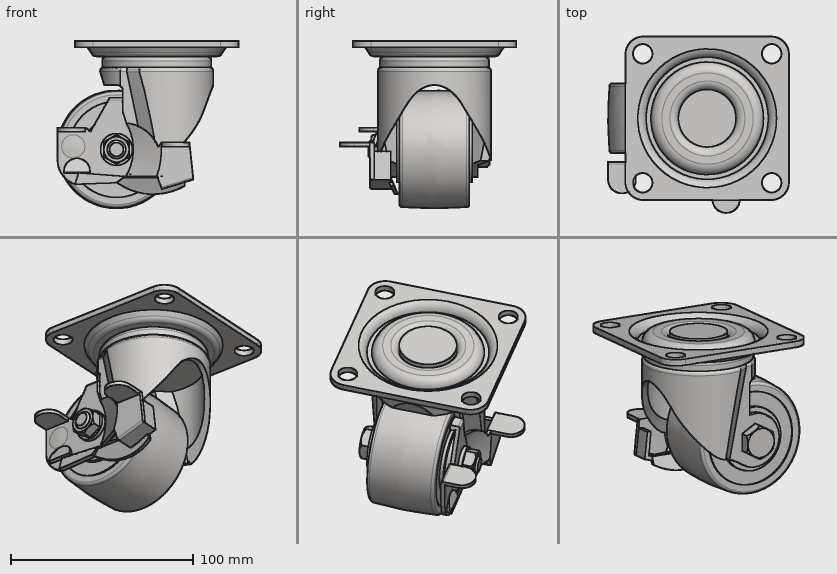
import cadquery as cq
import math

plate_side = 89.9
plate_thickness = 3.5
plate_corner_radius = 9.95
plate_hole_radius = 5.3
plate_hole_offset = 35.4

dish_radius = 38.1
groove_outer_radius = 33.5
groove_inner_radius = 30.9
hump_outer_radius = 25.1
hump_inner_radius = 20.6
groove_depth = 5.1
dish_bottom_z = -8.6

pin_radius = 15.8
collar_radius = 30.0
collar_bottom_z = -14.4
collar_round = 2.4

fork_radius = 31.1
fork_wall = 3.2
fork_round = 2.2
leg_outer_y = 23.9
lip_bottom_z = -24.3
lip_bottom_x = -28.9
lip_fillet = 3.0
fork_lower_z = -65.7
leg_edge_x = -18.7
leg_end_radius = 15.2

wheel_radius = 32.4
wheel_half_width = 19.2
wheel_crown = 0.7
wheel_edge_radius = 1.6
core_radius = 26.4
core_recess = 0.6
hub_radius = 18.1

axle_x = -22.1
axle_z = -59.6
bolt_radius = 5.1
bolt_tip_y = -36.2
bolt_tip_chamfer = 1.3
head_height = 6.4
head_corner_radius = 9.7
nut_corner_radius = 8.1
nut_outer_y = -34.8
flange_radius = 8.8
flange_thickness = 2.3
hex_bevel_ratio = 0.14

brake_sheet = 2.3
flare_axis_x = -41.4
flare_inner_radius = 28.6
flare_outer_radius = 44.0
flare_start_x = -16.7
panel_outer_y = -35.4
panel_front_corner = (2.8, -81.4)
panel_rear_corner = (20.2, -76.1)
brake_bend = 1.2
brake_top_z = -31.2
left_pedal_tip_y = -41.3
left_pedal_top_z = -47.6
left_pedal_x = (axle_x - wheel_radius, -39.1)
right_pedal_tip_y = -52.0
right_pedal_top_z = -55.7
right_pedal_x = (2.8, 18.0)

leg_inner_y = leg_outer_y - fork_wall
brake_outer_y = -leg_outer_y - brake_sheet
big = 119.4


def turned_about_axle(points):
    """Revolve an (r, y) polygon about the wheel axle."""
    ring = cq.Workplane("XY").polyline(points).close().revolve(360, (0, 0), (0, 1))
    return ring.translate((axle_x, 0, axle_z))


def slab_y(outline, y_from, y_to):
    """Extrude an outline lying in the XZ plane between two Y positions."""
    return outline.extrude(y_to - y_from).translate((0, y_to, 0))


def hexagon(corner_radius, y_from, y_to):
    """Hexagonal prism on the axle with one corner pointing up."""
    angles = [math.radians(60 * k) for k in range(6)]
    corners = [
        (axle_x + corner_radius * math.sin(a), axle_z + corner_radius * math.cos(a)) for a in angles
    ]
    return slab_y(cq.Workplane("XZ").polyline(corners).close(), y_from, y_to)


def make_plate():
    sheet = (
        cq.Workplane("XY")
        .rect(plate_side, plate_side)
        .extrude(-plate_thickness)
        .edges("|Z")
        .fillet(plate_corner_radius)
    )
    dish_slope_z = -6.3
    dish = (
        cq.Workplane("XZ")
        .moveTo(0, -plate_thickness / 2)
        .lineTo(dish_radius, -plate_thickness / 2)
        .lineTo(dish_radius, -plate_thickness)
        .lineTo(36.2, dish_slope_z)
        .threePointArc((35.0, -7.9), (groove_outer_radius - 0.5, dish_bottom_z))
        .lineTo(0, dish_bottom_z)
        .close()
        .revolve(360, (0, 0), (0, 1))
    )
    groove = (
        cq.Workplane("XZ")
        .moveTo(dish_radius, 0)
        .threePointArc((35.2, -1.8), (groove_outer_radius, -groove_depth))
        .lineTo(groove_inner_radius, -groove_depth)
        .threePointArc((29.2, -1.7), (hump_outer_radius, 0))
        .close()
        .revolve(360, (0, 0), (0, 1))
    )
    mouth = hump_inner_radius - pin_radius
    mouth_sag = mouth * (1 - math.sqrt(0.5))
    pin_hole = (
        cq.Workplane("XZ")
        .lineTo(hump_inner_radius, 0)
        .threePointArc((pin_radius + mouth_sag, -mouth_sag), (pin_radius, -mouth))
        .lineTo(pin_radius, dish_bottom_z)
        .lineTo(0, dish_bottom_z)
        .close()
        .revolve(360, (0, 0), (0, 1))
    )
    mounting_holes = (
        cq.Workplane("XY")
        .rect(2 * plate_hole_offset, 2 * plate_hole_offset, forConstruction=True)
        .vertices()
        .circle(plate_hole_radius)
        .extrude(-plate_thickness)
    )
    return sheet.union(dish).cut(groove).cut(pin_hole).cut(mounting_holes)


def pinched_cylinder(radius, half_width, top_z, inset):
    """Cylinder whose -X part is pinched to a flat-sided channel by two slanted creases."""
    body = cq.Workplane("XY").workplane(offset=top_z).circle(radius).extrude(-big)
    crease_top = (-16.9 + inset, -7.0 + inset)
    crease_bottom = (-8.0 + inset, 0.5 + inset)
    crease_bottom_z = -57.7
    overshoot = 1.5
    drop = (top_z - crease_bottom_z) * overshoot

    def section(blend):
        leg_x, rim_x = [a + (b - a) * blend for a, b in zip(crease_top, crease_bottom)]
        return [(-big, half_width), (leg_x, half_width), (rim_x, radius + 1), (-big, radius + 1)]

    pinch = (
        cq.Workplane("XY")
        .workplane(offset=top_z)
        .polyline(section(0))
        .close()
        .workplane(offset=-drop)
        .polyline(section(overshoot))
        .close()
        .loft(ruled=True)
    )
    legs = (
        cq.Workplane("XY")
        .box(big, 2 * half_width, big, centered=(False, True, False))
        .translate((-big, 0, lip_bottom_z - big))
    )
    return body.union(legs).cut(pinch).cut(pinch.mirror("XZ"))


def fork_side_outline():
    """Side profile of the fork: tapered lip, leg edge, rounded axle end and lower edge."""
    end_top_z = axle_z + math.sqrt(leg_end_radius**2 - (leg_edge_x - axle_x) ** 2)
    exit_angle = math.radians(-50)
    exit_x = axle_x + leg_end_radius * math.cos(exit_angle)
    exit_z = axle_z + leg_end_radius * math.sin(exit_angle)
    return (
        cq.Workplane("XZ")
        .moveTo(-fork_radius, 0)
        .lineTo(fork_radius, 0)
        .lineTo(fork_radius, fork_lower_z)
        .lineTo(0, fork_lower_z)
        .lineTo(exit_x, exit_z)
        .threePointArc((axle_x - leg_end_radius, axle_z), (leg_edge_x, end_top_z))
        .lineTo(leg_edge_x, lip_bottom_z - lip_fillet)
        .radiusArc((leg_edge_x - lip_fillet, lip_bottom_z), -lip_fillet)
        .lineTo(lip_bottom_x, lip_bottom_z)
        .lineTo(-fork_radius, collar_bottom_z - fork_round)
        .close()
    )


def rear_arch():
    """Opening in the rear wall, widening downward from its crown below the fork top."""
    right_side = [(8.2, -27.1), (19.0, -41.3), (27.4, -55.9), (fork_radius, fork_lower_z)]
    left_side = [(-y, z) for y, z in reversed(right_side)]
    return (
        cq.Workplane("YZ")
        .spline(left_side + [(0, lip_bottom_z)] + right_side)
        .close()
        .extrude(fork_radius + 1)
    )


def make_fork():
    outer = pinched_cylinder(fork_radius, leg_outer_y, collar_bottom_z, 0)
    outer = outer.faces(">Z").edges().fillet(fork_round)
    inner = pinched_cylinder(fork_radius - fork_wall, leg_inner_y, collar_bottom_z - fork_wall, fork_wall / 2)
    shell = outer.cut(inner)
    yoke = shell.intersect(slab_y(fork_side_outline(), -big, big)).cut(rear_arch())
    collar = (
        cq.Workplane("XY")
        .workplane(offset=collar_bottom_z)
        .circle(collar_radius)
        .extrude(dish_bottom_z - collar_bottom_z)
        .faces(">Z")
        .edges()
        .fillet(collar_round)
    )
    pin = cq.Workplane("XY").workplane(offset=dish_bottom_z).circle(pin_radius).extrude(-dish_bottom_z)
    axle_hole = turned_about_axle([(0, -big), (bolt_radius, -big), (bolt_radius, big), (0, big)])
    return yoke.union(collar).union(pin).cut(axle_hole)


def make_wheel():
    tread_radius = wheel_radius - wheel_crown
    face_radius = tread_radius - wheel_edge_radius
    tread_y = wheel_half_width - wheel_edge_radius
    core_y = wheel_half_width - core_recess
    body = (
        cq.Workplane("XY")
        .moveTo(bolt_radius, -leg_inner_y)
        .lineTo(hub_radius, -leg_inner_y)
        .lineTo(hub_radius, -core_y)
        .lineTo(core_radius, -core_y)
        .lineTo(core_radius, -wheel_half_width)
        .lineTo(face_radius, -wheel_half_width)
        .radiusArc((tread_radius, -tread_y), -wheel_edge_radius)
        .threePointArc((wheel_radius, 0), (tread_radius, tread_y))
        .radiusArc((face_radius, wheel_half_width), -wheel_edge_radius)
        .lineTo(core_radius, wheel_half_width)
        .lineTo(core_radius, core_y)
        .lineTo(hub_radius, core_y)
        .lineTo(hub_radius, leg_inner_y)
        .lineTo(bolt_radius, leg_inner_y)
        .close()
        .revolve(360, (0, 0), (0, 1))
    )
    return body.translate((axle_x, 0, axle_z))


def corner_trim(corner_radius, y_inner, y_outer):
    """Turned envelope that bevels the outer corners of a hexagon."""
    bevel = hex_bevel_ratio * corner_radius
    sense = math.copysign(1, y_outer - y_inner)
    return turned_about_axle(
        [
            (0, y_inner),
            (corner_radius + 1, y_inner),
            (corner_radius, y_outer - sense * bevel),
            (corner_radius - bevel, y_outer),
            (0, y_outer),
        ]
    )


def make_bolt():
    head_outer_y = leg_outer_y + head_height
    head = hexagon(head_corner_radius, leg_outer_y, head_outer_y)
    head = head.intersect(corner_trim(head_corner_radius, leg_outer_y, head_outer_y))
    shank = turned_about_axle(
        [
            (0, leg_outer_y),
            (bolt_radius, leg_outer_y),
            (bolt_radius, bolt_tip_y + bolt_tip_chamfer),
            (bolt_radius - bolt_tip_chamfer, bolt_tip_y),
            (0, bolt_tip_y),
        ]
    )
    return head.union(shank)


def make_nut():
    flange_y = brake_outer_y - flange_thickness
    flange = turned_about_axle(
        [(0, brake_outer_y), (flange_radius, brake_outer_y), (flange_radius, flange_y), (0, flange_y)]
    )
    body = hexagon(nut_corner_radius, nut_outer_y, flange_y)
    body = body.intersect(corner_trim(nut_corner_radius, flange_y, nut_outer_y))
    bore = turned_about_axle([(0, -big), (bolt_radius, -big), (bolt_radius, 0), (0, 0)])
    return flange.union(body).cut(bore)


def brake_outline():
    pedal_left, pedal_right = left_pedal_x
    return (
        cq.Workplane("XZ")
        .moveTo(-25.9, brake_top_z)
        .lineTo(leg_edge_x, brake_top_z)
        .lineTo(leg_edge_x, -38.6)
        .lineTo(flare_start_x, -45.1)
        .threePointArc((-5.2, -49.9), (0.8, -58.1))
        .lineTo(right_pedal_x[0], right_pedal_top_z)
        .lineTo(right_pedal_x[1], right_pedal_top_z)
        .lineTo(*panel_rear_corner)
        .lineTo(*panel_front_corner)
        .lineTo(0.3, -74.4)
        .lineTo(-17.4, -74.4)
        .lineTo(axle_x, -77.9)
        .lineTo(-44.8, -78.7)
        .threePointArc((-51.7, -73.7), (pedal_left, -65.7))
        .lineTo(pedal_left, left_pedal_top_z)
        .lineTo(pedal_right, left_pedal_top_z)
        .lineTo(-36.3, -49.75)
        .close()
    )


def brake_sheet_body():
    """Flat sheet over the wheel hub that flares out as a cone into a second flat panel."""
    reach = 79.6
    outer = [
        (0, brake_outer_y),
        (flare_inner_radius, brake_outer_y),
        (flare_outer_radius, panel_outer_y),
        (reach, panel_outer_y),
    ]
    inner = [(r, y + brake_sheet) for r, y in reversed(outer)]
    pressed = cq.Workplane("XY").polyline(outer + inner).close().revolve(360, (0, 0), (0, 1))
    pressed = pressed.translate((flare_axis_x, 0, axle_z)).intersect(slab_y(brake_outline(), -big, 0))
    flat_side = cq.Workplane("XY").box(big, 2 * big, 2 * big).translate((flare_start_x - big / 2, 0, 0))
    flat = slab_y(brake_outline(), brake_outer_y, -leg_outer_y).intersect(flat_side)
    return pressed.cut(flat_side).union(flat)


def pedal(x_limits, root_y, tip_y, top_z):
    """Horizontal tread with a full-round tip."""
    x_from, x_to = x_limits
    radius = (x_to - x_from) / 2
    return (
        cq.Workplane("XY")
        .workplane(offset=top_z)
        .moveTo(x_from, root_y)
        .lineTo(x_from, tip_y + radius)
        .threePointArc((x_from + radius, tip_y), (x_to, tip_y + radius))
        .lineTo(x_to, root_y)
        .close()
        .extrude(-brake_sheet)
    )


def brake_dimple():
    """Shallow pointed dimple under the pedal."""
    base = cq.Vector(-46.0, brake_outer_y, -57.8)
    return cq.Workplane(obj=cq.Solid.makeCone(6.4, 0, 0.5, base, cq.Vector(0, -1, 0)))


def brake_scoop():
    """Rounded scoop whose face leans outward down to a sharp lower edge."""
    center_x = -43.8
    center_z = -71.6
    radius = 7.2
    height = 2.2
    rim = cq.Workplane("XZ").center(center_x, center_z).circle(radius)
    disc = slab_y(rim, brake_outer_y - height, brake_outer_y)
    slope = (
        cq.Workplane("YZ")
        .polyline(
            [
                (brake_outer_y, center_z + radius),
                (brake_outer_y - height, center_z - 0.5),
                (brake_outer_y, center_z - 1.0),
            ]
        )
        .close()
        .extrude(big, both=True)
    )
    return disc.intersect(slope)


def brake_hook():
    """Tab bent inward over the edge of the fork leg."""
    end_z = brake_top_z - brake_sheet
    level = cq.Workplane("XY").box(big, big, brake_sheet).translate((0, 0, (brake_top_z + end_z) / 2))
    return slab_y(brake_outline(), brake_outer_y, -leg_inner_y).intersect(level)


def panel_flange():
    """Lower and rear edges of the outer panel, folded back toward the wheel."""
    inner_edge = [(2.0, -79.1), (17.5, -74.3), (16.3, -60.7), (18.5, -60.7)]
    strip = cq.Workplane("XZ").polyline(inner_edge + [panel_rear_corner, panel_front_corner]).close()
    return slab_y(strip, panel_outer_y, -leg_outer_y)


def brake_skirt():
    """Lens-shaped apron below the flare, leaning in behind the wheel."""
    half_width = -axle_x
    top_z = -73.1
    tip_z = -84.2
    lens = (
        cq.Workplane("XZ")
        .moveTo(-half_width, -77.6)
        .threePointArc((0, tip_z), (15.4, -79.6))
        .lineTo(15.4, -75.1)
        .lineTo(-15.9, top_z)
        .close()
    )
    bend_z = top_z - 2
    profile = [
        (-leg_outer_y, top_z),
        (-leg_outer_y, bend_z),
        (-20.1, tip_z),
        (-21.9, tip_z),
        (brake_outer_y, bend_z),
        (brake_outer_y, top_z),
    ]
    leaning = cq.Workplane("YZ").polyline(profile).close().extrude(half_width + 1, both=True)
    return slab_y(lens, -big, big).intersect(leaning)


def brake_lip():
    """Raised strip along the bottom edge of the brake plate."""
    strip = (
        cq.Workplane("XZ")
        .polyline([(-43.0, -72.4), (-17.4, -74.4), (axle_x, -77.9), (-44.8, -78.7)])
        .close()
    )
    lip_height = 0.8
    return slab_y(strip, brake_outer_y - lip_height, brake_outer_y)


def make_brake():
    brake = brake_sheet_body().union(pedal(left_pedal_x, -leg_outer_y, left_pedal_tip_y, left_pedal_top_z))
    brake = brake.union(
        pedal(right_pedal_x, panel_outer_y + brake_sheet, right_pedal_tip_y, right_pedal_top_z)
    )
    brake = brake.union(brake_hook()).union(panel_flange())
    bends = [
        (-46.8, -leg_outer_y, left_pedal_top_z),
        (-22.3, brake_outer_y, brake_top_z),
        (11.4, panel_outer_y, -78.7),
    ]
    for bend in bends:
        brake = brake.edges(cq.selectors.NearestToPointSelector(bend)).fillet(brake_bend)
    brake = brake.union(brake_skirt()).union(brake_lip())
    brake = brake.union(brake_dimple()).union(brake_scoop())
    bolt_hole = turned_about_axle([(0, -big), (bolt_radius, -big), (bolt_radius, 0), (0, 0)])
    return brake.cut(bolt_hole)


plate = make_plate()
fork = make_fork()
wheel = make_wheel()
bolt = make_bolt()
nut = make_nut()
brake = make_brake().cut(fork)

bodies = [plate, fork, wheel, bolt, nut, brake]
result = cq.Compound.makeCompound([body.solids().val() for body in bodies])